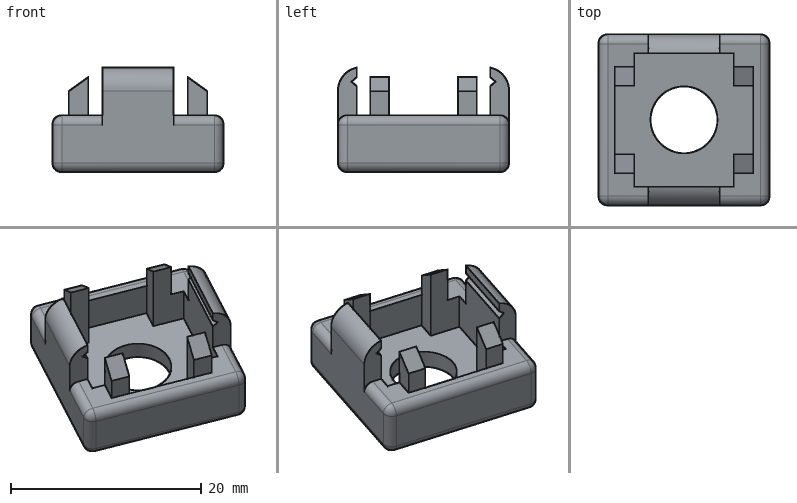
import cadquery as cq
import math

side = 18.0
base_height = 6.0
edge_radius = 1.0
floor_thickness = 2.0
hole_diameter = 7.0

pocket_length = 14.0
pocket_width = 10.4
pocket_full_width = 14.56

post_inner_y = 3.6
post_outer_y = 5.6
post_peak_z = 10.0
post_shoulder_z = 8.51

tab_width = 7.5
tab_height = 11.0
tab_round_radius = 2.5
notch_depth = 0.54
notch_bottom_z = 9.04
notch_top_z = 9.97
tab_outer_y = side / 2
tab_inner_y = pocket_length / 2


def make_base():
    """Rounded block with a cross-shaped pocket and a central through hole."""
    block = cq.Workplane("XY").box(side, side, base_height, centered=(True, True, False))
    block = block.edges().fillet(edge_radius)
    floor = cq.Workplane("XY").workplane(offset=floor_thickness)
    depth = base_height - floor_thickness
    long_pocket = floor.rect(pocket_width, pocket_length).extrude(depth)
    wide_pocket = floor.rect(pocket_full_width, 2 * post_outer_y).extrude(depth)
    hole = cq.Workplane("XY").circle(hole_diameter / 2).extrude(base_height)
    return block.cut(long_pocket).cut(wide_pocket).cut(hole)


def make_post():
    """Post at +X +Y, rising from the pocket floor, sloping down outwards."""
    inner_x = pocket_width / 2
    outer_x = pocket_full_width / 2
    return (
        cq.Workplane("XZ", origin=(0, post_outer_y, 0))
        .moveTo(inner_x, floor_thickness)
        .lineTo(outer_x, floor_thickness)
        .lineTo(outer_x, post_shoulder_z)
        .lineTo(inner_x, post_peak_z)
        .close()
        .extrude(post_outer_y - post_inner_y)
    )


def make_tab():
    """Tab on the +Y wall, rounded outside and notched inside."""
    arc_center_y = tab_outer_y - tab_round_radius
    arc_rise = math.sqrt(tab_round_radius**2 - (tab_inner_y - arc_center_y) ** 2)
    arc_start_z = tab_height - arc_rise
    mid_angle = math.atan2(arc_rise, tab_inner_y - arc_center_y) / 2
    arc_middle = (
        arc_center_y + tab_round_radius * math.cos(mid_angle),
        arc_start_z + tab_round_radius * math.sin(mid_angle),
    )
    root_z = base_height - edge_radius
    return (
        cq.Workplane("YZ")
        .moveTo(tab_inner_y, root_z)
        .lineTo(tab_outer_y, root_z)
        .lineTo(tab_outer_y, arc_start_z)
        .threePointArc(arc_middle, (tab_inner_y, tab_height))
        .lineTo(tab_inner_y, notch_top_z)
        .lineTo(tab_inner_y + notch_depth, (notch_bottom_z + notch_top_z) / 2)
        .lineTo(tab_inner_y, notch_bottom_z)
        .close()
        .extrude(tab_width / 2, both=True)
    )


result = make_base()

post = make_post()
post_pair = post.union(post.mirror("YZ"))
tab = make_tab()
for feature in (post_pair, tab):
    result = result.union(feature).union(feature.mirror("XZ"))